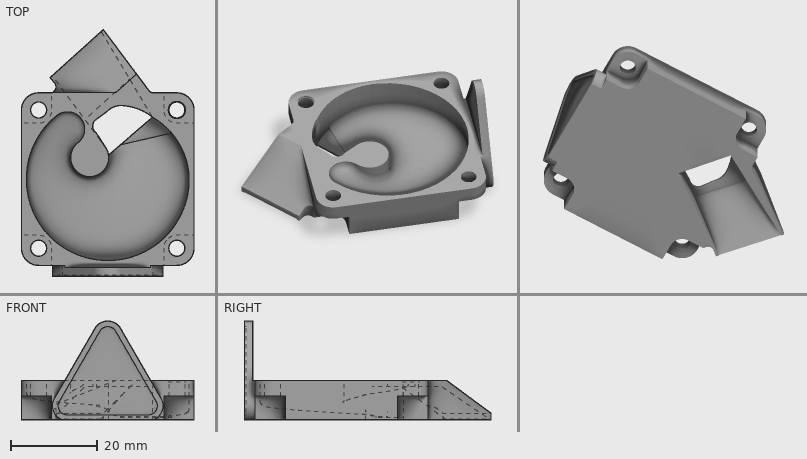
import cadquery as cq
import math

side = 40.0
half = side / 2
height = 9.15
corner_radius = 4.0
hole_offset = half - corner_radius
hole_diameter = 3.65
spot_diameter = 4.0
spot_depth = 0.35
flange_bottom = 5.55
relief_radius = 3.05

plate_front = -22.5
plate_back = -20.5
plate_height = 22.9
plate_radius = 3.45
plate_half_base = 9.4
plate_rim = 1.3
plate_recess = 0.35

hub_center = (-4.2, 5.0)
hub_radius = 4.4
hub_exit_angle = 30.0
start_center = (-9.3, 11.6)
start_angle = math.degrees(math.atan2(start_center[1] - hub_center[1], start_center[0] - hub_center[0]))
start_radius = math.dist(start_center, hub_center) - hub_radius
outer_radius = math.hypot(*start_center) + start_radius
outer_start_angle = math.degrees(math.atan2(start_center[1], start_center[0]))
floor_fillet = 1.0

ramp_first_angle = 95.0
ramp_axis = (-4.2, 6.3)
ramp_last_angle = 373.0
ramp_top = 8.3
ramp_bottom = 0.8
outlet_floor = 0.6
reach = 34.3

spout_tip = (-1.05, 34.65)
spout_corner = (-13.4, 23.5)
spout_shoulder = (9.5, 20.6)
spout_end_height = 1.55
spout_slope_length = 12.8
channel_end_height = 0.25
channel_ceiling = 7.7
channel_wall = 0.7
outlet_left = -3.7
channel_right_root = (10.35, 14.35)
floor_edge_inner = (1.1, 6.35)
end_angle = math.degrees(math.atan2(spout_tip[1] - spout_corner[1], spout_tip[0] - spout_corner[0]))
slope = (height - spout_end_height) / spout_slope_length


def polar(center, radius, degrees):
    angle = math.radians(degrees)
    return (center[0] + radius * math.cos(angle), center[1] + radius * math.sin(angle))


def slope_wedge(end_height, top):
    """Block under a plane that rises from the spout end towards the body, up to a flat top."""
    run = (top - end_height) / slope
    plane = cq.Plane(origin=(*spout_tip, 0), xDir=polar((0, 0), 1, end_angle - 90) + (0,),
                     normal=polar((0, 0), 1, end_angle + 180) + (0,))
    profile = [(0, 0), (0, end_height), (run, top), (reach, top), (reach, 0)]
    return cq.Workplane(plane).polyline(profile).close().extrude(reach, both=True)


def make_body():
    """Rounded flange over a square base whose corners are relieved around the screws."""
    body = cq.Workplane().rect(side, side).extrude(height).edges("|Z").fillet(corner_radius)
    base = cq.Workplane().rect(side, side).extrude(flange_bottom)
    body = body.union(base)
    relief_size = 2 * (corner_radius + relief_radius)
    corners = cq.Workplane().rect(side, side, forConstruction=True).vertices()
    reliefs = corners.rect(relief_size, relief_size).extrude(flange_bottom)
    return body.cut(reliefs.edges("|Z").fillet(relief_radius))


def make_spout():
    left = -hole_offset + relief_radius
    outline = (
        cq.Workplane()
        .moveTo(*spout_tip)
        .lineTo(*spout_corner)
        .lineTo(-12.3, 22.25)
        .threePointArc((-12.0, 21.4), (left, half))
        .lineTo(left, hole_offset)
        .lineTo(hole_offset - relief_radius, hole_offset)
        .lineTo(hole_offset - relief_radius, half)
        .lineTo(10.45, half)
        .threePointArc((9.9, 20.2), spout_shoulder)
        .close()
        .extrude(height)
    )
    return outline.intersect(slope_wedge(spout_end_height, height))


def triangle(radius, depth):
    """Rounded triangle extruded backwards from the plate front."""
    low = plate_height - plate_radius - plate_half_base * math.sqrt(3)
    corners = [(-plate_half_base, low), (plate_half_base, low), (0, plate_height - plate_radius)]
    plane = cq.Workplane("XZ", origin=(0, plate_front, 0))
    return plane.polyline(corners).close().offset2D(radius).extrude(-depth)


def make_plate():
    plate = triangle(plate_radius, plate_back - plate_front)
    foot = triangle(plate_radius, -half - plate_front)
    foot = foot.intersect(cq.Workplane().rect(2 * reach, 2 * reach).extrude(height))
    above_base = cq.Workplane().rect(2 * reach, 2 * reach).extrude(plate_height)
    recess = triangle(plate_radius - plate_rim, plate_recess)
    return plate.intersect(above_base).union(foot).cut(recess)


def volute_prism():
    """Full-height prism inside the volute wall."""
    return (
        cq.Workplane()
        .moveTo(*polar((0, 0), outer_radius, outer_start_angle))
        .threePointArc((0, -outer_radius), (outer_radius, 0))
        .threePointArc((17.65, 5.95), (14.4, 11.1))
        .threePointArc((12.5, 12.85), channel_right_root)
        .threePointArc((6.85, 16.3), (3.05, 17.05))
        .threePointArc((1.15, 16.6), (-0.3, 15.55))
        .lineTo(-2.85, 13.65)
        .threePointArc((-3.4, 12.8), (-2.65, 10.7))
        .lineTo(*polar(hub_center, hub_radius, hub_exit_angle))
        .threePointArc(polar(hub_center, hub_radius, -90), polar(hub_center, hub_radius, start_angle))
        .threePointArc(polar(start_center, start_radius, 30),
                       polar(start_center, start_radius, outer_start_angle))
        .close()
        .extrude(height)
    )


def ramp_cavity():
    """Volute space above the spiral floor, rounded where the floor meets the walls."""
    sweep_angle = ramp_last_angle - ramp_first_angle
    drop = ramp_top - ramp_bottom
    path = cq.Wire.makeHelix(drop * 360 / sweep_angle, drop, hub_radius, lefthand=True)
    section = cq.Workplane("XZ").moveTo(0.6, 0).lineTo(reach, 0).lineTo(reach, height)
    section = section.lineTo(0.6, height).close()
    above = section.sweep(cq.Workplane(path), isFrenet=True)
    above = above.rotate((0, 0, 0), (0, 0, 1), ramp_last_angle).translate((*ramp_axis, ramp_bottom))
    cavity = volute_prism().intersect(above)
    wall_foot = cavity.faces("%BSPLINE").edges("not <Z")
    return wall_foot.fillet(floor_fillet)


def cut_outlet(part):
    """Cut the flat floor after the ramp and the opening through the bottom beyond its edge."""
    edge_angle = math.degrees(math.atan2(channel_right_root[1] - floor_edge_inner[1],
                                         channel_right_root[0] - floor_edge_inner[0]))
    floor_start = polar(ramp_axis, reach, ramp_last_angle)
    floor_sector = [ramp_axis, floor_start, polar(ramp_axis, reach, 90)]
    edge_start = polar(floor_edge_inner, -reach, edge_angle)
    edge_end = polar(floor_edge_inner, reach, edge_angle)
    open_side = [edge_start, edge_end, polar(edge_end, reach, edge_angle + 90),
                 polar(edge_start, reach, edge_angle + 90)]
    outlet_side = cq.Workplane().moveTo(outlet_left + reach / 2, 0).rect(reach, 2 * reach).extrude(height)
    space = volute_prism().intersect(outlet_side)
    over_floor = cq.Workplane("XY", origin=(0, 0, outlet_floor)).polyline(floor_sector).close().extrude(height)
    through = cq.Workplane().polyline(open_side).close().extrude(height)
    return part.cut(space.intersect(over_floor)).cut(space.intersect(through))


def spout_channel():
    """Air channel under the sloped spout roof, open below and at the spout end."""
    outline = [polar(spout_corner, channel_wall, end_angle), polar(spout_tip, -channel_wall, end_angle),
               channel_right_root, floor_edge_inner, polar(hub_center, hub_radius, hub_exit_angle)]
    channel = cq.Workplane().polyline(outline).close().extrude(height)
    return channel.intersect(slope_wedge(channel_end_height, channel_ceiling))


result = make_body().union(make_spout()).union(make_plate())
result = cut_outlet(result.cut(ramp_cavity())).cut(spout_channel())
corners = [(sx * hole_offset, sy * hole_offset) for sx in (-1, 1) for sy in (-1, 1)]
result = result.cut(cq.Workplane().pushPoints(corners).circle(hole_diameter / 2).extrude(height))
spot = cq.Workplane("XY", origin=(0, 0, height)).center(hole_offset, hole_offset)
result = result.cut(spot.circle(spot_diameter / 2).extrude(-spot_depth))